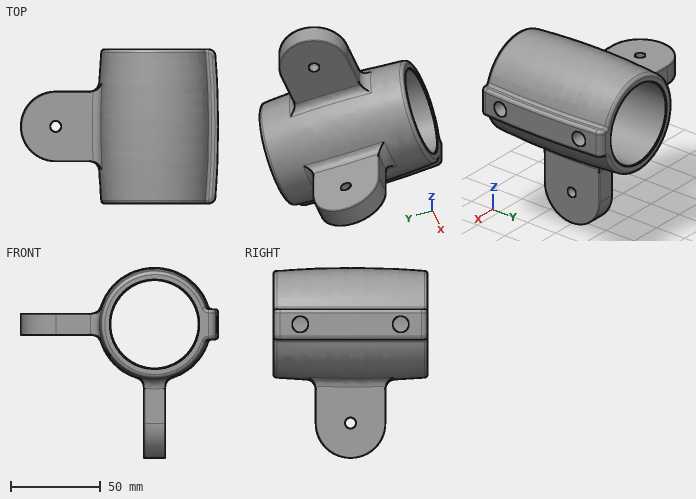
import cadquery as cq

length = 86.0
barrel_radius = 31.5
crown_radius = 500.0
bore_radius = 24.5
bore_chamfer = 0.5
rim_fillet = 2.0

pad_rise = 4.0
pad_width = 17.0
pad_corner_radius = 4.0
pad_root_fillet = 1.9
cross_hole_diameter = 9.0
cross_hole_offset = 28.0

lug_width = 39.0
lug_thickness = 12.0
lug_hole_distance = 55.0
lug_hole_diameter = 6.0
lug_root_fillet = 5.0
lug_root_length = 36.0
lug_edge_fillet = 0.5

half_length = length / 2
half_lug = lug_width / 2
half_pad = pad_width / 2
lug_tip = lug_hole_distance + half_lug
pad_face = barrel_radius + pad_rise

pick_margin = 1.0


def edges_in_box(low, high):
    """Selector for the edges whose centres lie between two opposite box corners."""
    return cq.selectors.BoxSelector(low, high)


def as_hanging(lug_piece):
    """Turn a piece that points along -X so that it points along -Z."""
    return lug_piece.rotate((0, 0, 0), (0, 1, 0), -90)


def crowned_profile(peak, arc_radius):
    """Half section in XY, from the sleeve axis out to an arc that peaks at mid-length."""
    end = peak - arc_radius + (arc_radius**2 - half_length**2) ** 0.5
    return (
        cq.Workplane("XY")
        .moveTo(0, -half_length)
        .lineTo(end, -half_length)
        .threePointArc((peak, 0), (end, half_length))
        .lineTo(0, half_length)
        .close()
    )


def make_barrel():
    return crowned_profile(barrel_radius, crown_radius).revolve(360, (0, 0, 0), (0, 1, 0))


def add_pad(body):
    """Join the pad, blend its sides into the barrel and round its ends and rims."""
    pad = crowned_profile(pad_face, crown_radius + pad_rise).extrude(half_pad, both=True)
    body = body.union(pad)

    half_pick = half_pad + pick_margin
    side_roots = edges_in_box(
        (bore_radius, -pick_margin, -half_pick),
        (barrel_radius, pick_margin, half_pick),
    )
    body = body.edges(side_roots).fillet(pad_root_fillet)
    body = body.edges("|Z").edges(">X").fillet(pad_corner_radius)

    long_edges = edges_in_box(
        (barrel_radius + pad_rise / 2, -pick_margin, -half_pick),
        (pad_face, pick_margin, half_pick),
    )
    return body.edges(long_edges).fillet(rim_fillet)


def make_lug_root():
    """Plain block from the sleeve axis along -X to the end of the root fillets."""
    return cq.Workplane("XY").box(
        lug_root_length, lug_width, lug_thickness
    ).translate((-lug_root_length / 2, 0, 0))


def make_lug_plate():
    """Round-ended plate along -X, starting where the root block stops."""
    plate = (
        cq.Workplane("XY")
        .moveTo(-lug_root_length, -half_lug)
        .lineTo(-lug_hole_distance, -half_lug)
        .threePointArc((-lug_tip, 0), (-lug_hole_distance, half_lug))
        .lineTo(-lug_root_length, half_lug)
        .close()
        .extrude(lug_thickness / 2, both=True)
    )
    return plate.faces("|Z").edges("<X").fillet(lug_edge_fillet)


def add_lugs(body):
    """Join both lugs, with fillets where their roots meet the barrel."""
    root = make_lug_root()
    plate = make_lug_plate()
    body = body.union(root).union(as_hanging(root))

    near = barrel_radius - pick_margin
    across = half_lug + pick_margin
    flat_roots = edges_in_box((-barrel_radius, -across, -across), (-near, across, across))
    hanging_roots = edges_in_box((-across, -across, -barrel_radius), (across, across, -near))
    body = body.edges(flat_roots).fillet(lug_root_fillet)
    body = body.edges(hanging_roots).fillet(lug_root_fillet)
    return body.union(plate).union(as_hanging(plate))


def make_bore():
    bore = cq.Workplane("XZ").circle(bore_radius).extrude(half_length, both=True)
    mouth = (
        cq.Workplane("XZ", origin=(0, -half_length, 0))
        .circle(bore_radius + bore_chamfer)
        .workplane(offset=-bore_chamfer)
        .circle(bore_radius)
        .loft()
    )
    return bore.union(mouth).union(mouth.mirror("XZ"))


def make_lug_hole():
    return (
        cq.Workplane("XY")
        .center(-lug_hole_distance, 0)
        .circle(lug_hole_diameter / 2)
        .extrude(lug_thickness, both=True)
    )


def make_cross_holes():
    """Radial holes through the pad into the bore, one near each end."""
    return (
        cq.Workplane("YZ")
        .pushPoints([(-cross_hole_offset, 0), (cross_hole_offset, 0)])
        .circle(cross_hole_diameter / 2)
        .extrude(pad_face)
    )


solid_body = add_lugs(add_pad(make_barrel()))
result = (
    solid_body
    .cut(make_bore())
    .cut(make_lug_hole())
    .cut(as_hanging(make_lug_hole()))
    .cut(make_cross_holes())
)